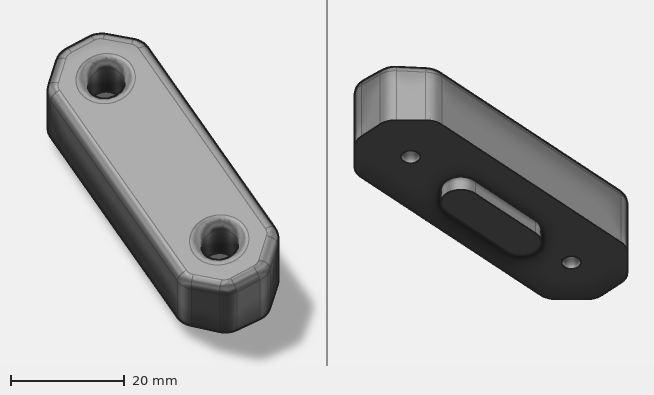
import cadquery as cq
import math

length = 60
width = 20.0
corner_cut = 6
corner_radius = 4.0
mid_height = 13.85
top_slope = 5
edge_radius = 2.0

hole_spacing = 40.0
hole_diameter = 3.4
counterbore_diameter = 6.5
counterbore_floor = 5.0
mouth_radius = 2.0

key_length = 22.0
key_width = 7.0
key_depth = 3

sloping_top = cq.selectors.NearestToPointSelector((0, 0, mid_height))


def make_body():
    """Corner-rounded octagonal bar, cut off by the sloping top plane."""
    rise = width / 2 * math.tan(math.radians(top_slope))
    side_profile = (
        cq.Workplane("YZ")
        .polyline([
            (-width / 2, 0),
            (width / 2, 0),
            (width / 2, mid_height + rise),
            (-width / 2, mid_height - rise),
        ])
        .close()
        .extrude(length / 2, both=True)
    )
    outline = (
        cq.Workplane("XY")
        .rect(length, width)
        .extrude(mid_height + rise)
        .edges("|Z")
        .chamfer(corner_cut)
        .edges("|Z")
        .fillet(corner_radius)
    )
    return outline.intersect(side_profile).faces(sloping_top).edges().fillet(edge_radius)


def cut_screw_holes(body):
    """Two through holes with counterbores whose mouths are rounded over."""
    centers = [(-hole_spacing / 2, 0), (hole_spacing / 2, 0)]
    counterbores = (
        cq.Workplane("XY", origin=(0, 0, counterbore_floor))
        .pushPoints(centers)
        .circle(counterbore_diameter / 2)
        .extrude(mid_height)
    )
    holes = (
        cq.Workplane("XY")
        .pushPoints(centers)
        .circle(hole_diameter / 2)
        .extrude(mid_height)
    )
    body = body.cut(counterbores)
    mouth_loops = body.faces(sloping_top).val().innerWires()
    mouths = [edge for loop in mouth_loops for edge in loop.Edges()]
    return body.newObject(mouths).fillet(mouth_radius).cut(holes)


def make_key():
    """Round-ended key hanging below the body."""
    return cq.Workplane("XY").slot2D(key_length, key_width).extrude(-key_depth)


result = cut_screw_holes(make_body()).union(make_key())